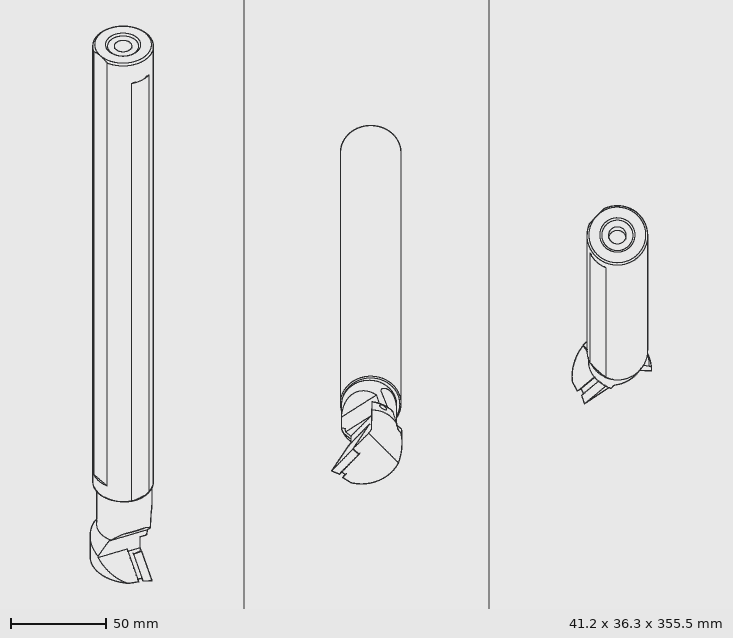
import cadquery as cq
import math

TOTAL_HEIGHT = 355.5
SHANK_RADIUS = 16.0
SHANK_BOTTOM = 51.0
END_CHAMFER = 1.0
COLLAR_CHAMFER = 0.7
FLAT_DEPTH = 1.0
FRONT_FLAT_BOTTOM = 60.5
SIDE_FLAT_TOP = 341.7

BORE_MOUTH_RADIUS = 9.2
BORE_FLOOR_RADIUS = 8.2
BORE_FLOOR_DEPTH = 1.0
BORE_RADIUS = 4.5
BORE_DEPTH = 10.5

NECK_RADIUS = 14.5
NECK_OFFSET = 1.0
NECK_BOTTOM = 22.8
HEAD_RADIUS = 21.0
HEAD_X = 5.0
HEAD_Y = 0.7
CONE_SLOPE = 1.5
HEAD_FLOOR_CENTRE = 1.0
HEAD_FLOOR_RISE = 1.6

INSERT_EDGE = 16.7
INSERT_THICKNESS = 4.5
INSERT_ANGLE = 35.0
INSERT_RELIEF = 5.0
EDGE_LEAD = 2.0
RAKE_TURN = 13.0
TIP_X = 25.2

GULLET_FLOOR = 7.0
GULLET_KNEE_Y = 9.2
GULLET_KNEE_Z = 34.0
GULLET_TOP_Y = 17.8
GULLET_TOP_Z = 43.7
GULLET_LEDGE = 18.5
RIM_END = (-11.0, 14.5)

SCOOP_WALL = 10.3
SCOOP_MOUTH_Z = 28.5
SCOOP_SHOULDER_Z = 22.0
SCOOP_CLEARANCE = 0.55
LEDGE_WIDTH = 3.0
LEDGE_STEP = 1.8

BEVEL_OUTER = (-16.0, 10.3)
BEVEL_INNER = (-6.8, 3.2)

FLUTE_RADIUS = 7.0
FLUTE_TOP = (-13.0, 0.18, 41.2)
FLUTE_LOW = (-20.3, -4.5, 16.0)
FLUTE_LENGTH = 42.5

RIM_HOLE_RADIUS = 2.0
RIM_HOLE_DEPTH = 3.5
RIM_HOLES = ((227, 14.2), (157, 15.0))

REACH = 71.0

turn = math.radians(RAKE_TURN)
rake_plane = cq.Plane(
    origin=(TIP_X, 0, 0),
    xDir=(math.cos(turn), -math.sin(turn), 0),
    normal=(-math.sin(turn), -math.cos(turn), 0),
)


def rake_y(x):
    """Y of the rake face at a given X."""
    return (TIP_X - x) * math.tan(turn)


def make_shank():
    shank = (
        cq.Workplane("XY")
        .workplane(offset=SHANK_BOTTOM)
        .circle(SHANK_RADIUS)
        .extrude(TOTAL_HEIGHT - SHANK_BOTTOM)
        .faces(">Z")
        .chamfer(END_CHAMFER)
        .faces("<Z")
        .chamfer(COLLAR_CHAMFER)
    )
    flat_at = SHANK_RADIUS - FLAT_DEPTH
    width = 2 * SHANK_RADIUS
    front_flat = cq.Workplane("XY").box(width, width, TOTAL_HEIGHT, centered=(True, False, False))
    front_flat = front_flat.translate((0, -flat_at - width, FRONT_FLAT_BOTTOM))
    side_flat = cq.Workplane("XY").box(width, width, SIDE_FLAT_TOP, centered=(False, True, False))
    side_flat = side_flat.translate((flat_at, 0, 0))
    return shank.cut(front_flat).cut(side_flat)


def make_end_bore():
    floor = TOTAL_HEIGHT - BORE_FLOOR_DEPTH
    return (
        cq.Workplane("XZ")
        .moveTo(0, TOTAL_HEIGHT)
        .lineTo(BORE_MOUTH_RADIUS, TOTAL_HEIGHT)
        .lineTo(BORE_FLOOR_RADIUS, floor)
        .lineTo(BORE_RADIUS, floor)
        .lineTo(BORE_RADIUS, TOTAL_HEIGHT - BORE_DEPTH)
        .lineTo(0, TOTAL_HEIGHT - BORE_DEPTH)
        .close()
        .revolve(360, (0, 0, 0), (0, 1, 0))
    )


def make_head():
    """Neck with a cone at its foot; the disc trims the cone, a tilted floor closes it below."""
    cone_reach = NECK_BOTTOM / CONE_SLOPE
    neck_and_cone = (
        cq.Workplane("XZ")
        .moveTo(0, SHANK_BOTTOM)
        .lineTo(NECK_RADIUS, SHANK_BOTTOM)
        .lineTo(NECK_RADIUS, NECK_BOTTOM)
        .lineTo(NECK_RADIUS + cone_reach, 0)
        .lineTo(0, 0)
        .close()
        .revolve(360, (0, 0, 0), (0, 1, 0))
        .translate((NECK_OFFSET, 0, 0))
    )
    disc = cq.Workplane("XY").center(HEAD_X, HEAD_Y).circle(HEAD_RADIUS).extrude(SHANK_BOTTOM)
    below_floor = (
        cq.Workplane("YZ")
        .polyline([
            (-HEAD_RADIUS, HEAD_FLOOR_CENTRE + HEAD_FLOOR_RISE),
            (HEAD_RADIUS, HEAD_FLOOR_CENTRE - HEAD_FLOOR_RISE),
            (HEAD_RADIUS, -HEAD_RADIUS),
            (-HEAD_RADIUS, -HEAD_RADIUS),
        ])
        .close()
        .extrude(REACH, both=True)
    )
    return neck_and_cone.intersect(disc).cut(below_floor)


def make_bevel():
    outer_x, outer_z = BEVEL_OUTER
    inner_x, inner_z = BEVEL_INNER
    slope = (inner_z - outer_z) / (inner_x - outer_x)
    rise = outer_z - slope * outer_x
    left = -2 * HEAD_RADIUS
    return (
        cq.Workplane("XZ")
        .polyline([(left, slope * left + rise), (-rise / slope, 0), (left, 0)])
        .close()
        .extrude(REACH, both=True)
    )


def make_gullet():
    """Flat with a ramp across the neck, and the open chip space over the rake face."""
    flat = (
        cq.Workplane("YZ")
        .polyline([
            (GULLET_TOP_Y, GULLET_TOP_Z),
            (GULLET_KNEE_Y, GULLET_KNEE_Z),
            (GULLET_FLOOR, GULLET_LEDGE),
            (REACH, GULLET_LEDGE),
            (REACH, GULLET_TOP_Z),
        ])
        .close()
        .extrude(REACH, both=True)
    )
    corner_x = TIP_X - GULLET_FLOOR / math.tan(turn)
    chip_space = (
        cq.Workplane("XY")
        .polyline([
            (RIM_END[0], REACH),
            RIM_END,
            (corner_x, GULLET_FLOOR),
            (REACH, rake_y(REACH)),
            (REACH, REACH),
        ])
        .close()
        .extrude(GULLET_LEDGE)
    )
    return flat.union(chip_space)


def scoop_part(floor_drop, start, depth):
    """Scoop section swept along the rake normal; its floor runs parallel to the upper insert edge."""
    floor_slope = math.tan(math.radians(EDGE_LEAD + INSERT_ANGLE))
    wall = (SCOOP_WALL - TIP_X) / math.cos(turn)
    far = HEAD_RADIUS
    return (
        cq.Workplane(rake_plane)
        .workplane(offset=start)
        .polyline([
            (far, SCOOP_MOUTH_Z + far),
            (-far / 2, SCOOP_MOUTH_Z),
            (wall, SCOOP_SHOULDER_Z),
            (wall, -wall * floor_slope - floor_drop),
            (far, -far * floor_slope - floor_drop),
        ])
        .close()
        .extrude(depth)
    )


def make_scoop():
    """Hollow above the insert: a low ledge beside the insert, then a higher floor out to the rim."""
    ledge_end = INSERT_THICKNESS + LEDGE_WIDTH
    ledge = scoop_part(SCOOP_CLEARANCE, -REACH, REACH + ledge_end)
    outer_floor = scoop_part(SCOOP_CLEARANCE - LEDGE_STEP, ledge_end, REACH)
    return ledge.union(outer_floor)


def make_flute():
    top = cq.Vector(*FLUTE_TOP)
    direction = cq.Vector(*FLUTE_LOW) - top
    ball = cq.Workplane("XY").sphere(FLUTE_RADIUS).translate(FLUTE_TOP)
    channel = cq.Solid.makeCylinder(FLUTE_RADIUS, FLUTE_LENGTH, top, direction)
    return ball.union(cq.Workplane(channel))


def make_rim_holes():
    """Blind holes drilled towards the disc axis, each start standing clear of the rim."""
    holes = cq.Workplane("XY")
    for angle, height in RIM_HOLES:
        outward = cq.Vector(math.cos(math.radians(angle)), math.sin(math.radians(angle)), 0)
        start = cq.Vector(HEAD_X, HEAD_Y, height) + outward * (HEAD_RADIUS + RIM_HOLE_DEPTH)
        holes.add(cq.Solid.makeCylinder(RIM_HOLE_RADIUS, 2 * RIM_HOLE_DEPTH, start, -outward))
    return holes.combine()


def make_insert():
    lower = math.radians(180 - EDGE_LEAD)
    upper = math.radians(180 - EDGE_LEAD - INSERT_ANGLE)
    lower_corner = (INSERT_EDGE * math.cos(lower), INSERT_EDGE * math.sin(lower))
    upper_corner = (INSERT_EDGE * math.cos(upper), INSERT_EDGE * math.sin(upper))
    back_corner = (lower_corner[0] + upper_corner[0], lower_corner[1] + upper_corner[1])
    return (
        cq.Workplane(rake_plane)
        .polyline([(0, 0), upper_corner, back_corner, lower_corner])
        .close()
        .extrude(INSERT_THICKNESS, taper=INSERT_RELIEF)
    )


insert = make_insert()
bar = make_shank().union(make_head())
for cutter in (
    make_end_bore(),
    make_bevel(),
    make_gullet(),
    make_scoop(),
    make_flute(),
    make_rim_holes(),
    insert,
):
    bar = bar.cut(cutter)

result = cq.Compound.makeCompound([bar.val(), insert.val()])